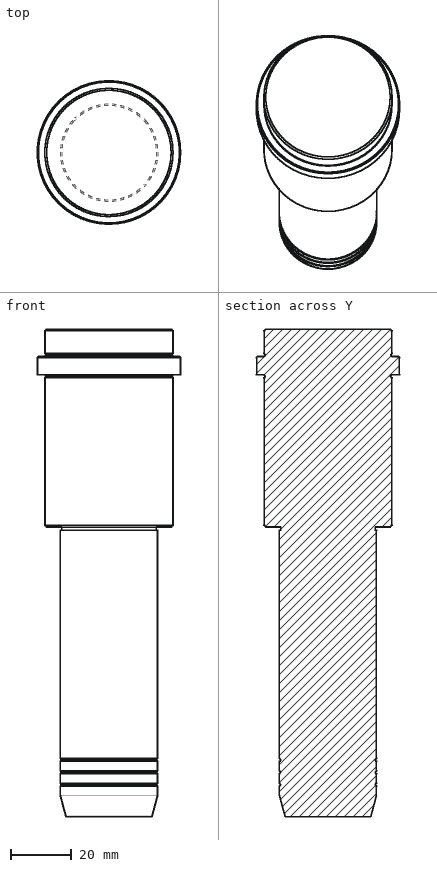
import cadquery as cq
import math

total_height = 160.0
collar_top = 151.0
collar_height = 6.0
body_bottom = 95.0

collar_diameter = 47.0
body_diameter = 42.0
stem_diameter = 32.0
collar_radius = collar_diameter / 2
body_radius = body_diameter / 2
stem_radius = stem_diameter / 2

nose_height = 7.0
nose_angle = 15.0
nose_edge_radius = 0.5

collar_chamfer = 0.4
body_chamfer = 0.6

relief_width = 1.0
relief_depth = 0.5

ring_groove_width = 1.0
ring_groove_depth = 0.5
lowest_groove_height = 10.5
highest_groove_height = 18.7
groove_count = 3
groove_pitch = (highest_groove_height - lowest_groove_height) / (groove_count - 1)


def disc(radius, bottom, top):
    """Plain cylinder on the Z axis between two heights."""
    return cq.Workplane("XY").workplane(offset=bottom).circle(radius).extrude(top - bottom)


def vee_ring(radius, center, width, depth):
    """Ring that removes a vee groove from a cylinder of the given radius."""
    section = cq.Workplane("XZ").polyline(
        [
            (radius, center - width / 2),
            (radius, center + width / 2),
            (radius - depth, center),
        ]
    )
    return section.close().revolve(360, (0, 0, 0), (0, 1, 0))


def make_collar():
    """Flange with a chamfer on its upper edge only."""
    collar = disc(collar_radius, collar_top - collar_height, collar_top)
    return collar.edges(">Z").chamfer(collar_chamfer)


def make_body():
    body = disc(body_radius, body_bottom, total_height).edges().chamfer(body_chamfer)
    relief_above = collar_top + relief_width / 2
    relief_below = collar_top - collar_height - relief_width / 2
    for center in (relief_above, relief_below):
        body = body.cut(vee_ring(body_radius, center, relief_width, relief_depth))
    return body


def make_stem():
    relief_bottom = body_bottom - relief_width
    stem = disc(stem_radius, nose_height, relief_bottom)
    stem = stem.union(disc(stem_radius - relief_depth, relief_bottom, body_bottom))
    for index in range(groove_count):
        center = lowest_groove_height + index * groove_pitch
        stem = stem.cut(vee_ring(stem_radius, center, ring_groove_width, ring_groove_depth))
    return stem


def make_nose():
    tip_radius = stem_radius - nose_height * math.tan(math.radians(nose_angle))
    nose = (
        cq.Workplane("XY")
        .circle(tip_radius)
        .workplane(offset=nose_height)
        .circle(stem_radius)
        .loft(ruled=True)
    )
    return nose.faces("<Z").edges().fillet(nose_edge_radius)


result = make_stem().union(make_nose()).union(make_body()).union(make_collar())